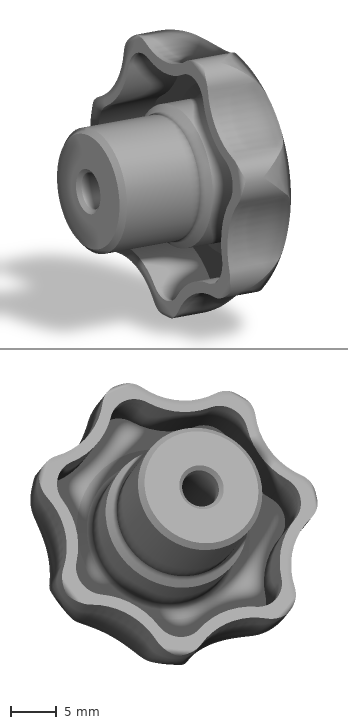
import cadquery as cq
import math


lobe_count = 7
lobe_pitch = 360 / lobe_count
lobe_tip_radius = 32.0 / 2
lobe_round = 3.0
valley_radius = 13.15
head_height = 10.0
dome_height = 1.3
dome_edge_radius = 10.72
shoulder_round = 6.0
rim_round = 0.5

pocket_tip_radius = 14.0
pocket_lobe_round = 2.95
pocket_valley_radius = 11.85
pocket_depth = 7.0
recess_radius = 9.75
recess_depth = 0.3

hub_radius = 16.0 / 2
hub_root_round = 0.53
stem_radius = 14.0 / 2
stem_length = 10.0
stem_chamfer = 0.6

hole_radius = 4.15 / 2
hole_mouth_radius = 2.5
hole_depth = 12.0


def polar(radius, angle):
    """Point at an angle in degrees, measured from the -Z direction."""
    turn = math.radians(angle - 90)
    return (radius * math.cos(turn), radius * math.sin(turn))


def star_prism(tip_radius, tip_round, valley, height):
    """Prism from Y = 0 to Y = height with convex lobes joined tangentially by concave valleys."""
    half_pitch = math.radians(lobe_pitch / 2)
    lobe_center = tip_radius - tip_round
    along = lobe_center * math.cos(half_pitch)
    across = lobe_center * math.sin(half_pitch)
    gap = valley - along
    valley_round = (tip_round**2 - gap**2 - across**2) / (2 * (gap - tip_round))
    share = valley_round / (valley_round + tip_round)
    touch_along = (valley + valley_round) * (1 - share) + along * share
    touch_across = across * share
    touch_radius = math.hypot(touch_along, touch_across)
    touch_angle = lobe_pitch / 2 - math.degrees(math.atan2(touch_across, touch_along))

    outline = cq.Workplane("XZ").moveTo(*polar(touch_radius, -touch_angle))
    for lobe in range(lobe_count):
        angle = lobe * lobe_pitch
        outline = outline.threePointArc(
            polar(tip_radius, angle), polar(touch_radius, angle + touch_angle)
        )
        outline = outline.threePointArc(
            polar(valley, angle + lobe_pitch / 2),
            polar(touch_radius, angle + lobe_pitch - touch_angle),
        )
    return outline.close().extrude(-height)


def revolve_about_y(profile):
    return profile.close().revolve(360, (0, 0, 0), (0, 1, 0))


def domed_blank():
    """Round blank with a rounded rim edge, a rounded shoulder and a shallow dome."""
    dome_edge_y = head_height - dome_height
    dome_sphere = (dome_edge_radius**2 + dome_height**2) / (2 * dome_height)
    dome_mid_radius = dome_edge_radius / 2
    dome_mid_y = head_height - dome_sphere + math.sqrt(dome_sphere**2 - dome_mid_radius**2)
    shoulder_center = lobe_tip_radius - shoulder_round
    shoulder_start_y = dome_edge_y - math.sqrt(
        shoulder_round**2 - (dome_edge_radius - shoulder_center) ** 2
    )
    profile = (
        cq.Workplane("XY")
        .lineTo(lobe_tip_radius - rim_round, 0)
        .tangentArcPoint((lobe_tip_radius, rim_round), relative=False)
        .lineTo(lobe_tip_radius, shoulder_start_y)
        .tangentArcPoint((dome_edge_radius, dome_edge_y), relative=False)
        .threePointArc((dome_mid_radius, dome_mid_y), (0, head_height))
    )
    return revolve_about_y(profile)


def pocket():
    """Star-shaped pocket whose floor deepens conically around the hub."""
    star = star_prism(pocket_tip_radius, pocket_lobe_round, pocket_valley_radius, pocket_depth)
    recess = (
        cq.Workplane("XY")
        .lineTo(recess_radius, 0)
        .lineTo(recess_radius, pocket_depth)
        .lineTo(hub_radius + hub_root_round, pocket_depth + recess_depth)
        .lineTo(0, pocket_depth + recess_depth)
    )
    return star.union(revolve_about_y(recess))


def hub_and_stem():
    """Chamfered stem that widens at 45 degrees to a hub with a rounded root."""
    root_y = pocket_depth + recess_depth
    root_radius = hub_radius + hub_root_round
    slant = hub_root_round * (1 - math.sqrt(0.5))
    profile = (
        cq.Workplane("XY")
        .moveTo(0, -stem_length)
        .lineTo(stem_radius - stem_chamfer, -stem_length)
        .lineTo(stem_radius, stem_chamfer - stem_length)
        .lineTo(stem_radius, 0)
        .lineTo(hub_radius, hub_radius - stem_radius)
        .lineTo(hub_radius, root_y - hub_root_round)
        .threePointArc((hub_radius + slant, root_y - slant), (root_radius, root_y))
        .lineTo(0, root_y)
    )
    return revolve_about_y(profile)


def stem_hole():
    """Blind hole with a 45 degree chamfer at its mouth."""
    mouth_chamfer = hole_mouth_radius - hole_radius
    profile = (
        cq.Workplane("XY")
        .moveTo(0, -stem_length)
        .lineTo(hole_mouth_radius, -stem_length)
        .lineTo(hole_radius, mouth_chamfer - stem_length)
        .lineTo(hole_radius, hole_depth - stem_length)
        .lineTo(0, hole_depth - stem_length)
    )
    return revolve_about_y(profile)


head = star_prism(lobe_tip_radius, lobe_round, valley_radius, head_height).intersect(domed_blank())
result = head.cut(pocket()).union(hub_and_stem()).cut(stem_hole())